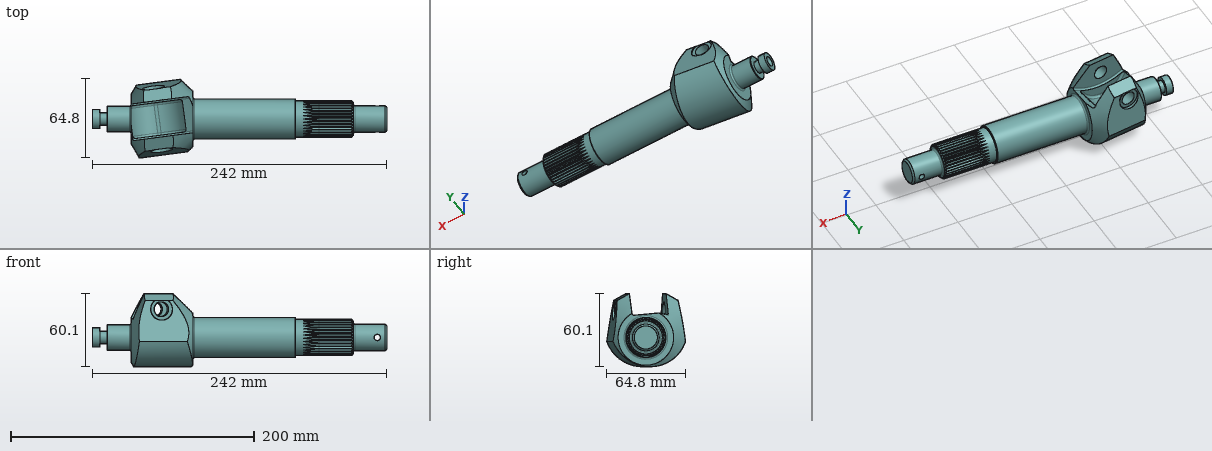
import cadquery as cq
import math

head_end = 6.2
neck_end = 12.0
yoke_front = 31.8
yoke_back = 82.7
body_end = 167.0
spline_end = 214.3
overall_length = 242.0

head_dia = 16.0
neck_dia = 10.5
journal_dia = 21.1
body_dia = 33.0
spline_dia = 30.0
tail_dia = 22.0
small_chamfer = 0.5
spline_chamfer = 1.5
tail_chamfer = 1.5
yoke_fillet = 1.4
tail_fillet = 1.2
cross_hole_dia = 5.0
cross_hole_inset = 8.0

centre_mouth_dia = 8.6
centre_pilot_dia = 3.0
centre_angle = 60.0
centre_pilot_length = 3.0

groove_count = 35
groove_depth = 1.3
groove_half_angle = 40.0
groove_start = 186.0
runout_length = 12.5
overrun = 1.6

yoke_turn = 7.5
pin_x = 53.6
pin_z = 23.2
pin_dia = 12.0
yoke_top = 36.0
roof_edge_z = 30.4
waist_z = -3.3
yoke_bottom = -24.1
waist_half_width = 29.95
side_draft = 8.5
front_face_radius = 20.3
front_cone_angle = 60.0
back_face_radius = 22.8
back_cone_angle = 43.5
spotface_dia = 18.0
spotface_half_gap = 24.7

slot_width = 30.0
slot_corner_radius = 1.5
pocket_width = slot_width - 2 * slot_corner_radius
pocket_corner_radius = 2.0
pocket_half_length = 22.1
pocket_rim_z = 15.2
pocket_flat_length = 2.8
slot_floor_radius = 50.0

clearance = 60.0


def shaft_profile():
    """Half outline of the turned shaft; the fillets meet the yoke end faces."""
    journal_r = journal_dia / 2
    body_r = body_dia / 2
    spline_r = spline_dia / 2
    tail_r = tail_dia / 2
    bend = 1 - math.sqrt(0.5)

    def fillet_up(wp, x, r, size):
        return wp.lineTo(x - size, r).threePointArc(
            (x - bend * size, r + bend * size), (x, r + size)
        )

    def fillet_down(wp, x, r, size):
        return wp.lineTo(x, r + size).threePointArc(
            (x + bend * size, r + bend * size), (x + size, r)
        )

    wp = cq.Workplane("XY").moveTo(0, 0).lineTo(0, head_dia / 2)
    wp = wp.lineTo(head_end, head_dia / 2).lineTo(head_end, neck_dia / 2)
    wp = wp.lineTo(neck_end, neck_dia / 2).lineTo(neck_end, journal_r - small_chamfer)
    wp = wp.lineTo(neck_end + small_chamfer, journal_r)
    wp = fillet_up(wp, yoke_front, journal_r, yoke_fillet)
    wp = fillet_down(wp, yoke_back, body_r, yoke_fillet)
    wp = wp.lineTo(body_end - small_chamfer, body_r).lineTo(body_end, body_r - small_chamfer)
    wp = wp.lineTo(body_end, spline_r).lineTo(spline_end - spline_chamfer, spline_r)
    wp = wp.lineTo(spline_end, spline_r - spline_chamfer)
    wp = fillet_down(wp, spline_end, tail_r, tail_fillet)
    wp = wp.lineTo(overall_length - tail_chamfer, tail_r)
    wp = wp.lineTo(overall_length, tail_r - tail_chamfer).lineTo(overall_length, 0)
    return wp.close()


def make_shaft():
    return shaft_profile().revolve(360, (0, 0, 0), (1, 0, 0))


def spline_groove():
    """V cutter along the top of the shaft, rising on an arc at its inner end."""
    root_r = spline_dia / 2 - groove_depth
    height = overrun * groove_depth
    half_width = height * math.tan(math.radians(groove_half_angle))
    arc_radius = (runout_length**2 + groove_depth**2) / (2 * groove_depth)
    arc_angle = math.degrees(math.asin(runout_length / arc_radius))
    axis_z = root_r + arc_radius
    root = (0, root_r)
    vee = cq.Sketch().polygon(
        [root, (half_width, root_r + height), (-half_width, root_r + height), root]
    )
    base = cq.Workplane("YZ", origin=(groove_start, 0, 0)).placeSketch(vee)
    straight = base.extrude(overall_length - groove_start)
    runout = base.revolve(overrun * arc_angle, (0, axis_z, 0), (1, axis_z, 0))
    return straight.union(runout)


def cut_splines(part):
    groove = spline_groove().val()
    step = 360 / groove_count
    cutters = [groove.rotate((0, 0, 0), (1, 0, 0), i * step) for i in range(groove_count)]
    return part.newObject([part.val().cut(*cutters)])


def turn_to_yoke(shape):
    """Move a shape built about the pin origin into the turned yoke position."""
    return shape.rotate((0, 0, 0), (0, 0, 1), yoke_turn).translate((pin_x, 0, 0))


def across_yoke(width):
    """Workplane for side outlines; extruding by the width centres them across the yoke."""
    return cq.Workplane("XZ", origin=(0, width / 2, 0))


def make_yoke_prism():
    draft = math.tan(math.radians(side_draft))
    edge_half = waist_half_width - (roof_edge_z - waist_z) * draft
    roof_half = slot_width / 2
    outline = (
        cq.Workplane("YZ", origin=(-clearance, 0, 0))
        .moveTo(-waist_half_width, waist_z)
        .threePointArc((0, yoke_bottom), (waist_half_width, waist_z))
        .lineTo(edge_half, roof_edge_z)
        .lineTo(roof_half, yoke_top)
        .lineTo(-roof_half, yoke_top)
        .lineTo(-edge_half, roof_edge_z)
        .close()
    )
    return turn_to_yoke(outline.extrude(2 * clearance))


def make_cone_envelope():
    """Double cone on the shaft axis with flat end faces."""
    front_slope = math.tan(math.radians(front_cone_angle))
    back_slope = math.tan(math.radians(back_cone_angle))
    length = yoke_back - yoke_front
    apex_run = (back_face_radius - front_face_radius + length * back_slope) / (
        front_slope + back_slope
    )
    apex = (yoke_front + apex_run, front_face_radius + apex_run * front_slope)
    return (
        cq.Workplane("XY")
        .moveTo(yoke_front, 0)
        .lineTo(yoke_front, front_face_radius)
        .lineTo(*apex)
        .lineTo(yoke_back, back_face_radius)
        .lineTo(yoke_back, 0)
        .close()
        .revolve(360, (0, 0, 0), (1, 0, 0))
    )


def make_yoke():
    return make_yoke_prism().intersect(make_cone_envelope())


def slot_cutter():
    """Gap between the arms: an arched floor centred under the pin."""
    radius = slot_floor_radius
    slot_floor_z = pocket_rim_z - radius + math.sqrt(radius**2 - pocket_half_length**2)
    reach = 2 * pocket_half_length
    reach_z = slot_floor_z + radius - math.sqrt(radius**2 - reach**2)
    outline = (
        across_yoke(slot_width)
        .moveTo(-reach, reach_z)
        .threePointArc((0, slot_floor_z), (reach, reach_z))
        .lineTo(reach, clearance)
        .lineTo(-reach, clearance)
        .close()
    )
    cutter = outline.extrude(slot_width)
    floor = cutter.faces(cq.selectors.NearestToPointSelector((0, 0, slot_floor_z)))
    return turn_to_yoke(floor.edges("not #Z").edges("not |Y").fillet(slot_corner_radius))


def pocket_cutter():
    """Swing clearance: two arcs about the pin joined by a short flat."""
    radius = math.hypot(pocket_half_length, pin_z - pocket_rim_z)
    flat_half = pocket_flat_length / 2
    floor_z = pin_z - math.sqrt(radius**2 - flat_half**2)
    mid = (radius * math.sqrt(0.5), pin_z - radius * math.sqrt(0.5))
    outline = (
        across_yoke(pocket_width)
        .moveTo(-radius, pin_z)
        .threePointArc((-mid[0], mid[1]), (-flat_half, floor_z))
        .lineTo(flat_half, floor_z)
        .threePointArc(mid, (radius, pin_z))
        .close()
    )
    cutter = outline.extrude(pocket_width)
    floor = cutter.faces("not >Z").faces("not |Y")
    return turn_to_yoke(floor.edges("not |Y").edges("not >Z").fillet(pocket_corner_radius))


def cut_pin_holes(part):
    """Cross bore through both arms, with a flat spotface on each outer side."""
    bore_length = 2 * clearance
    bore = across_yoke(bore_length).center(0, pin_z).circle(pin_dia / 2).extrude(bore_length)
    part = part.cut(turn_to_yoke(bore))
    for side in (1, -1):
        spotface = (
            cq.Workplane("XZ", origin=(0, side * spotface_half_gap, 0))
            .center(0, pin_z)
            .circle(spotface_dia / 2)
            .extrude(-side * clearance)
        )
        part = part.cut(turn_to_yoke(spotface))
    return part


def cut_centre_hole(part):
    mouth_r = centre_mouth_dia / 2
    pilot_r = centre_pilot_dia / 2
    cone_depth = (mouth_r - pilot_r) / math.tan(math.radians(centre_angle / 2))
    hole_depth = cone_depth + centre_pilot_length
    cutter = (
        cq.Workplane("XY")
        .lineTo(0, mouth_r)
        .lineTo(cone_depth, pilot_r)
        .lineTo(hole_depth, pilot_r)
        .lineTo(hole_depth, 0)
        .close()
        .revolve(360, (0, 0, 0), (1, 0, 0))
    )
    return part.cut(cutter)


def cut_cross_hole(part):
    cross_hole_x = overall_length - cross_hole_inset
    drill = (
        cq.Workplane("XZ", origin=(cross_hole_x, tail_dia, 0))
        .circle(cross_hole_dia / 2)
        .extrude(2 * tail_dia)
    )
    return part.cut(drill)


shaft = cut_splines(make_shaft())
result = shaft.union(make_yoke())
result = result.cut(slot_cutter()).cut(pocket_cutter())
result = cut_pin_holes(result)
result = cut_centre_hole(result)
result = cut_cross_hole(result)